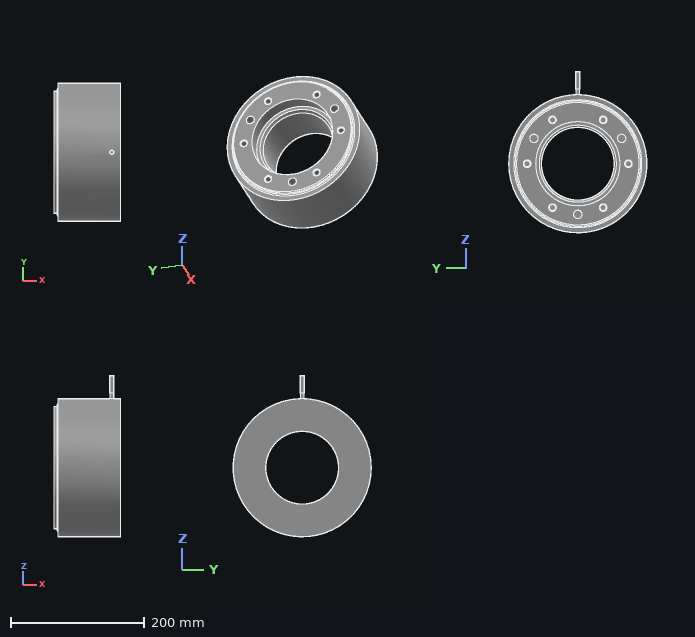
import cadquery as cq
import math

length = 100.0
outer_radius = 104.0
pilot_radius = 92.0
pilot_length = 4.4
collar_small_radius = 94.3
collar_large_radius = 96.2
shoulder_x = 5.8

entry_radius = 63.2
entry_depth = 25.0
lip_radius = 58.0
through_radius = 54.5
lip_taper_length = 5.0

pitch_radius = 76.0
screw_count = 6
screw_radius = 4.5
screw_countersink_radius = 5.7
screw_depth = 19.5
dowel_count = 3
dowel_start_angle = 30
dowel_radius = 6.3
dowel_depth = 19.5

total_height = 242.3
cable_top = total_height - outer_radius
gland_radius = 3.0
gland_length = 8.5
gland_top = outer_radius + gland_length
gland_embed = 4.8
cable_x = 87.0
cable_radius = 3.2


def ring_body():
    """Revolve the half section; sketch coordinates are (X, radius)."""
    section = [
        (0, entry_radius),
        (0, pilot_radius),
        (pilot_length, pilot_radius),
        (pilot_length, collar_small_radius),
        (shoulder_x, collar_large_radius),
        (shoulder_x, outer_radius),
        (length, outer_radius),
        (length, through_radius),
        (entry_depth + lip_taper_length, through_radius),
        (entry_depth, lip_radius),
        (entry_depth, entry_radius),
    ]
    return cq.Workplane("XY").polyline(section).close().revolve(360, (0, 0, 0), (1, 0, 0))


def pitch_points(count, start_angle):
    """(Y, Z) positions spaced evenly around the pitch circle."""
    angles = [math.radians(start_angle + 360 * i / count) for i in range(count)]
    return [(pitch_radius * math.cos(a), pitch_radius * math.sin(a)) for a in angles]


def screw_holes():
    """Blind holes with a 45 degree countersink at the front face."""
    countersink_depth = screw_countersink_radius - screw_radius
    profile = [
        (0, 0),
        (0, screw_countersink_radius),
        (countersink_depth, screw_radius),
        (screw_depth, screw_radius),
        (screw_depth, 0),
    ]
    hole = cq.Workplane("XY").polyline(profile).close().revolve(360, (0, 0, 0), (1, 0, 0))
    holes = cq.Workplane("YZ")
    for y, z in pitch_points(screw_count, 0):
        holes = holes.add(hole.translate((0, y, z)))
    return holes.combine()


def dowel_holes():
    """Plain blind holes, flat at the bottom."""
    points = pitch_points(dowel_count, dowel_start_angle)
    return cq.Workplane("YZ").pushPoints(points).circle(dowel_radius).extrude(dowel_depth)


def upright_rod(radius, bottom, top):
    """Vertical rod on the cable axis."""
    return cq.Workplane("XY", origin=(cable_x, 0, bottom)).circle(radius).extrude(top - bottom)


ring = ring_body().cut(screw_holes()).cut(dowel_holes())
gland = upright_rod(gland_radius, outer_radius - gland_embed, gland_top)
cable = upright_rod(cable_radius, gland_top, cable_top)
result = ring.union(gland).union(cable)